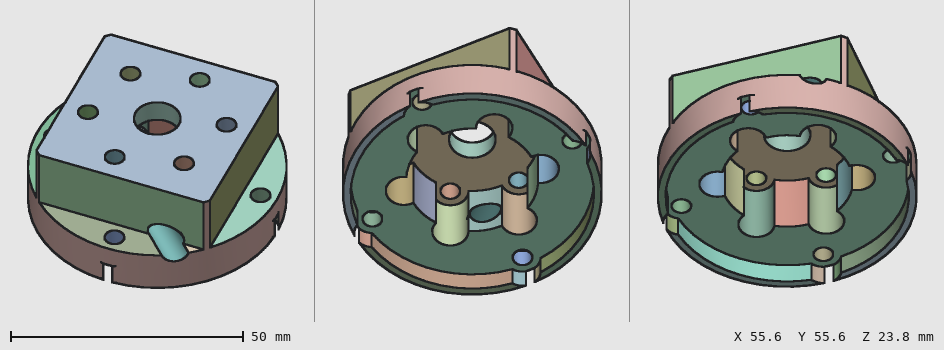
import cadquery as cq
import math

flange_diameter = 55.6
flange_height = 9.75
total_height = 23.8

block_side = 40.35

pilot_diameter = 10.0
cavity_diameter = 28.35
top_plate_thickness = 5.2
recess_diameter = 52.25
recess_height = 4.85
cavity_height = total_height - top_plate_thickness

screw_diameter = 4.2
counterbore_diameter = 7.8
flange_counterbore_height = recess_height
block_counterbore_height = cavity_height
flange_screw_circle_radius = 24.0
flange_screw_count = 4
flange_screw_start_angle = 0.0
block_screw_circle_radius = 15.0
block_screw_count = 6
block_screw_start_angle = 15.0

passage_diameter = 6.0
passage_axis_height = 10.75
passage_entry_x = 10.4
passage_angle = 135.0
passage_outer_length = flange_diameter / 2


def make_body():
    """Flange with a square block whose corners follow the flange rim."""
    flange = cq.Workplane("XY").circle(flange_diameter / 2).extrude(flange_height)
    rim_cylinder = cq.Workplane("XY").circle(flange_diameter / 2).extrude(total_height)
    block = cq.Workplane("XY").rect(block_side, block_side).extrude(total_height)
    return flange.union(block.intersect(rim_cylinder))


def make_centre_bore():
    pilot = cq.Workplane("XY").circle(pilot_diameter / 2).extrude(total_height)
    cavity = cq.Workplane("XY").circle(cavity_diameter / 2).extrude(cavity_height)
    recess = cq.Workplane("XY").circle(recess_diameter / 2).extrude(recess_height)
    return pilot.union(cavity).union(recess)


def make_cylinder_ring(circle_radius, start_angle, count, diameter, height):
    """Ring of equal vertical cylinders rising from the underside."""
    return (
        cq.Workplane("XY")
        .polarArray(circle_radius, start_angle, 360, count)
        .circle(diameter / 2)
        .extrude(height)
    )


def cut_screw_holes(body, circle_radius, start_angle, count, counterbore_height):
    """Through holes with counterbores; these may break into the rim or the cavity."""
    holes = make_cylinder_ring(circle_radius, start_angle, count, screw_diameter, total_height)
    counterbores = make_cylinder_ring(
        circle_radius, start_angle, count, counterbore_diameter, counterbore_height
    )
    return body.cut(holes).cut(counterbores)


def make_passage():
    """Cylinder from outside the rim to the point of its axis nearest the bore axis."""
    inward_x = math.cos(math.radians(passage_angle))
    inward_y = math.sin(math.radians(passage_angle))
    entry_y = -block_side / 2
    inner_length = -(passage_entry_x * inward_x + entry_y * inward_y)
    start = cq.Vector(
        passage_entry_x - passage_outer_length * inward_x,
        entry_y - passage_outer_length * inward_y,
        passage_axis_height,
    )
    return cq.Workplane(
        cq.Solid.makeCylinder(
            passage_diameter / 2,
            passage_outer_length + inner_length,
            start,
            cq.Vector(inward_x, inward_y, 0),
        )
    )


result = make_body().cut(make_centre_bore()).cut(make_passage())
result = cut_screw_holes(
    result,
    flange_screw_circle_radius,
    flange_screw_start_angle,
    flange_screw_count,
    flange_counterbore_height,
)
result = cut_screw_holes(
    result,
    block_screw_circle_radius,
    block_screw_start_angle,
    block_screw_count,
    block_counterbore_height,
)